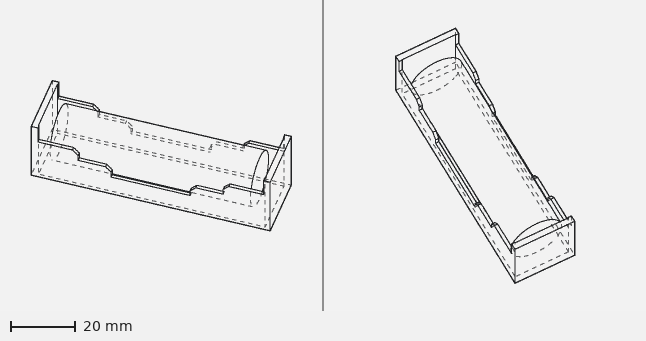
import cadquery as cq

LENGTH = 77.8
WIDTH = 21.0
HEIGHT = 21.5
SIDE_WALL = 1.2
END_WALL = 2.0

END_POST = 2.2
UPPER_LEDGE_Z = 15.3
STEP_DROP = 4.0
STEP_CHAMFER = 1.9
UPPER_STEP_X = 15.3
LOWER_STEP_X = 26.1

CYLINDER_DIAMETER = 18.0
CYLINDER_LENGTH = 65.2
CYLINDER_START_X = 5.7
CYLINDER_TOP_GAP = 1.7


def make_wall_cutout():
    """Stepped prism that lowers both long walls towards the middle."""
    middle_ledge_z = UPPER_LEDGE_Z - STEP_DROP
    lower_ledge_z = middle_ledge_z - STEP_DROP
    left_half = [
        (END_POST, HEIGHT),
        (END_POST, UPPER_LEDGE_Z),
        (UPPER_STEP_X - STEP_CHAMFER, UPPER_LEDGE_Z),
        (UPPER_STEP_X, UPPER_LEDGE_Z - STEP_CHAMFER),
        (UPPER_STEP_X, middle_ledge_z),
        (LOWER_STEP_X - STEP_CHAMFER, middle_ledge_z),
        (LOWER_STEP_X, middle_ledge_z - STEP_CHAMFER),
        (LOWER_STEP_X, lower_ledge_z),
    ]
    right_half = [(LENGTH - x, z) for x, z in reversed(left_half)]
    outline = cq.Workplane("XZ").polyline(left_half + right_half).close()
    return outline.extrude(WIDTH / 2, both=True)


def make_holder():
    """Four-walled frame, open at top and bottom, with stepped long walls."""
    centering = (False, True, False)
    block = cq.Workplane("XY").box(LENGTH, WIDTH, HEIGHT, centered=centering)
    cavity = (
        cq.Workplane("XY")
        .box(LENGTH - 2 * END_WALL, WIDTH - 2 * SIDE_WALL, HEIGHT, centered=centering)
        .translate((END_WALL, 0, 0))
    )
    return block.cut(cavity).cut(make_wall_cutout())


def make_cylinder():
    """Plain round bar along X, clear of the holder's walls."""
    radius = CYLINDER_DIAMETER / 2
    axis_z = HEIGHT - CYLINDER_TOP_GAP - radius
    return (
        cq.Workplane("YZ", origin=(CYLINDER_START_X, 0, axis_z))
        .circle(radius)
        .extrude(CYLINDER_LENGTH)
    )


holder = make_holder()
cylinder = make_cylinder()

result = cq.Compound.makeCompound([holder.val(), cylinder.val()])